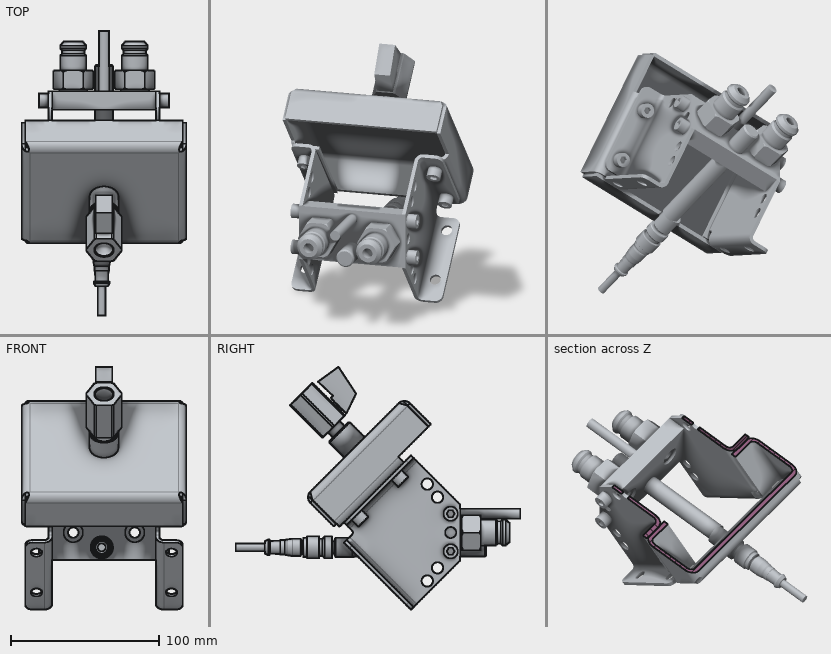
import cadquery as cq
import math

TILT = 45.0

SHEET = 2.5
BEND_OUTER = 5.4
BEND_INNER = BEND_OUTER - SHEET

BRACKET_INNER_X = 35.0
BRACKET_OUTER_X = BRACKET_INNER_X + SHEET
FLANGE_EDGE_X = 53.2
FLANGE_START = 9.6
FLANGE_END = 73.5
FLANGE_CORNER = 4.8
BRACKET_REAR_Y = 85.0
NOTCH_FILLET = 2.0
FLANGE_HOLE_X = 45.5
FLANGE_HOLES = (19.2, 57.2)
HOLE_DIA = 7.5
SIDE_HOLES = ((63.0, 32.6), (69.9, 23.8))

SCREW_HEAD_DIA = 9.6
SCREW_HEAD_HEIGHT = 6.5
SOCKET_FLATS = 4.6
SOCKET_DEPTH = 3.0

HOUSING_WIDTH = 111.0
HOUSING_FRONT = 2.9
HOUSING_REAR = 98.0
HOUSING_HEIGHT = 30.7
HOUSING_MID = (HOUSING_FRONT + HOUSING_REAR) / 2
RETURN_FLANGE_REAR = 66.8
FRONT_WALL_BOTTOM = 2.9
CORNER_NOTCH = 2.3

SPIGOT_DIA = 19.5
SPIGOT_TOP = 45.7
SPIGOT_CHAMFER = 0.8
NECK_DIA = 11.1
VALVE_BOTTOM = 50.5
VALVE_TOP = 81.5
VALVE_FLATS = 21.5
VALVE_CORNER_DIA = 24.0
VALVE_BORE_DIA = 12.0
VALVE_BORE_DEPTH = 19.2
VALVE_BORE_CHAMFER = 0.5
STEM_DIA = 7.7
STEM_Z = 58.4
HANDLE_WIDTH = 11.1
HANDLE_OUTLINE = ((62.5, 50.7), (76.8, 55.5), (81.2, 76.8), (64.3, 79.5), (64.7, 65.7), (62.5, 65.7))

BLOCK_FRONT = 72.4
BLOCK_REAR = BRACKET_REAR_Y
BLOCK_HALF_HEIGHT = 18.6
SCREW_Y = 78.7
SCREW_Z = 12.7

COUPLING_X = 20.7
COUPLING_BORE_DIA = 7.0
COUNTERBORE_DIA = 13.0
COUNTERBORE_DEPTH = 2.0
NUT_FLATS = 23.6
NUT_START = 86.2
NUT_END = 99.0
NUT_CHAMFER = 1.0
WASHER_DIA = 19.2
SLEEVE_RADIUS = 8.8
COUPLING_END = 118.6
SLEEVE_PROFILE = (
    (NUT_END, SLEEVE_RADIUS), (109.0, SLEEVE_RADIUS), (110.2, 7.7), (112.5, 7.7),
    (113.8, SLEEVE_RADIUS), (115.8, SLEEVE_RADIUS), (COUPLING_END, 6.3),
)

ROD_DIA = 7.0
ROD_Z = 12.7
ROD_END = 125.7
SENSOR_DIA = 12.3
SENSOR_Z = -10.2
SENSOR_REAR = 102.7
SENSOR_FRONT = 12.5
SENSOR_CHAMFER = 1.0
PLUG_X = -1.5
PLUG_Z = -10.0
PLUG_END = -66.2
PLUG_PROFILE = (
    (13.5, 6.5), (1.2, 6.5), (0.5, 5.5), (0.2, 4.2),
    (-1.0, 4.2), (-1.0, 7.1), (-1.5, 7.5), (-6.1, 7.5), (-7.0, 6.5),
    (-7.7, 6.0), (-9.8, 6.0), (-9.8, 7.3), (-10.2, 7.5), (-17.9, 7.5), (-18.5, 6.5),
    (-20.5, 6.5), (-21.0, 4.0), (-21.9, 4.0), (-22.3, 5.8), (-23.0, 6.0), (-28.0, 6.0),
    (-31.9, 5.4), (-33.0, 5.0), (-36.0, 5.0), (-36.0, 4.6), (-43.0, 4.5),
    (-43.4, 5.4), (-44.3, 5.4), (-46.5, 4.2), (-46.5, 2.7), (PLUG_END, 2.7),
)


def box(x0, x1, y0, y1, z0, z1):
    return cq.Workplane("XY").box(x1 - x0, y1 - y0, z1 - z0, centered=False).translate((x0, y0, z0))


def tilted(body):
    return body.rotate((0, 0, 0), (1, 0, 0), TILT)


def cylinder_y(x, z, y0, y1, diameter):
    """Cylinder along Y from y0 (rear) to the smaller y1."""
    return cq.Workplane("XZ", origin=(x, y0, z)).circle(diameter / 2).extrude(y0 - y1)


def across_corners(flats):
    return flats / math.cos(math.pi / 6)


def cap_screw(grip):
    """Socket screw: head above Z = 0, shank filling its clearance hole over the grip below."""
    head = cq.Workplane("XY").circle(SCREW_HEAD_DIA / 2).extrude(SCREW_HEAD_HEIGHT)
    shank = cq.Workplane("XY").circle(HOLE_DIA / 2).extrude(-grip)
    socket = (
        cq.Workplane("XY", origin=(0, 0, SCREW_HEAD_HEIGHT))
        .polygon(6, across_corners(SOCKET_FLATS))
        .extrude(-SOCKET_DEPTH)
        .rotate((0, 0, 0), (0, 0, 1), 90)
    )
    return head.union(shank).cut(socket)


def bracket_side_plate():
    """Flat side plate, ending at the bend lines of both flanges."""
    diagonal = math.sqrt(2)
    rear_z = FLANGE_END * diagonal - BRACKET_REAR_Y
    apex_y = BEND_OUTER * diagonal
    tip_y = (FLANGE_END + BEND_OUTER) / diagonal
    tip_z = (FLANGE_END - BEND_OUTER) / diagonal
    outline = [
        (apex_y, 0),
        (tip_y, tip_z),
        (BRACKET_REAR_Y, rear_z),
        (BRACKET_REAR_Y, -rear_z),
        (tip_y, -tip_z),
    ]
    plate = cq.Workplane("YZ", origin=(BRACKET_INNER_X, 0, 0)).polyline(outline).close().extrude(SHEET)
    notch = box(BRACKET_INNER_X, BRACKET_OUTER_X, 0, FLANGE_START, -FLANGE_START, 0)
    notch = notch.edges("|X and >Y and <Z").fillet(NOTCH_FILLET)
    plate = plate.cut(tilted(notch))
    upper_holes = [*SIDE_HOLES, (SCREW_Y, SCREW_Z)]
    holes = [(y, side * z) for y, z in upper_holes for side in (1, -1)] + [(SCREW_Y, 0)]
    return plate.cut(
        cq.Workplane("YZ", origin=(BRACKET_INNER_X, 0, 0))
        .pushPoints(holes)
        .circle(HOLE_DIA / 2)
        .extrude(SHEET)
    )


def bracket_flange():
    """Upper flange with its bend, turned outward from the side plate."""
    bend_x = BRACKET_INNER_X + BEND_OUTER
    bend_z = -BEND_OUTER
    sine = math.sqrt(0.5)
    flange = (
        cq.Workplane("XZ", origin=(0, FLANGE_END, 0))
        .moveTo(BRACKET_INNER_X, bend_z)
        .threePointArc((bend_x - BEND_OUTER * sine, bend_z + BEND_OUTER * sine), (bend_x, 0))
        .lineTo(FLANGE_EDGE_X, 0)
        .lineTo(FLANGE_EDGE_X, -SHEET)
        .lineTo(bend_x, -SHEET)
        .threePointArc((bend_x - BEND_INNER * sine, bend_z + BEND_INNER * sine), (BRACKET_OUTER_X, bend_z))
        .close()
        .extrude(FLANGE_END - FLANGE_START)
        .edges("|Z and >X")
        .fillet(FLANGE_CORNER)
    )
    holes = (
        cq.Workplane("XY")
        .pushPoints([(FLANGE_HOLE_X, y) for y in FLANGE_HOLES])
        .circle(HOLE_DIA / 2)
        .extrude(-SHEET)
    )
    return tilted(flange.cut(holes))


def right_bracket():
    upper = bracket_flange()
    return bracket_side_plate().union(upper).union(upper.mirror("XY"))


def corner_relief():
    """Square notch between two walls, widening over the bend to the corner of the flat top."""
    bend_start = HOUSING_HEIGHT - BEND_OUTER
    taper = math.degrees(math.atan((BEND_OUTER - CORNER_NOTCH) / BEND_OUTER))
    square = cq.Workplane("XY").rect(2 * CORNER_NOTCH, 2 * CORNER_NOTCH)
    flared = cq.Workplane("XY", origin=(0, 0, bend_start)).rect(2 * CORNER_NOTCH, 2 * CORNER_NOTCH)
    return square.extrude(bend_start).union(flared.extrude(BEND_OUTER, taper=-taper))


def housing_shell():
    """Folded cover with return flanges along the front part of its underside."""
    half = HOUSING_WIDTH / 2
    bent_edges = ">Z or (|Y and <Z)"
    outer = box(-half, half, HOUSING_FRONT, HOUSING_REAR, 0, HOUSING_HEIGHT)
    outer = outer.edges(bent_edges).fillet(BEND_OUTER)
    inner = box(
        -half + SHEET, half - SHEET,
        HOUSING_FRONT + SHEET, HOUSING_REAR - SHEET,
        SHEET, HOUSING_HEIGHT - SHEET,
    )
    inner = inner.edges(bent_edges).fillet(BEND_INNER)
    shell = outer.cut(inner)
    shell = shell.cut(
        box(-BRACKET_INNER_X, BRACKET_INNER_X, HOUSING_FRONT + SHEET, HOUSING_REAR, 0, BEND_OUTER)
    )
    shell = shell.cut(box(-half, half, RETURN_FLANGE_REAR, HOUSING_REAR, 0, BEND_OUTER))
    shell = shell.cut(box(-half, half, HOUSING_FRONT, HOUSING_FRONT + SHEET, 0, FRONT_WALL_BOTTOM))
    relief = corner_relief()
    for x in (-half, half):
        for y in (HOUSING_FRONT, HOUSING_REAR):
            shell = shell.cut(relief.translate((x, y, 0)))
    return shell


def ball_valve():
    base = cq.Workplane("XY", origin=(0, HOUSING_MID, 0))
    spigot = base.workplane(offset=HOUSING_HEIGHT - SHEET).circle(SPIGOT_DIA / 2)
    spigot = spigot.extrude(SPIGOT_TOP - HOUSING_HEIGHT + SHEET).faces(">Z").chamfer(SPIGOT_CHAMFER)
    neck = base.workplane(offset=SPIGOT_TOP).circle(NECK_DIA / 2).extrude(VALVE_BOTTOM - SPIGOT_TOP)
    valve_height = VALVE_TOP - VALVE_BOTTOM
    hexagon = base.workplane(offset=VALVE_BOTTOM).polygon(6, across_corners(VALVE_FLATS)).extrude(valve_height)
    corners = base.workplane(offset=VALVE_BOTTOM).circle(VALVE_CORNER_DIA / 2).extrude(valve_height)
    bore = base.workplane(offset=VALVE_TOP).circle(VALVE_BORE_DIA / 2).extrude(-VALVE_BORE_DEPTH)
    hexagon = hexagon.intersect(corners).cut(bore)
    hexagon = hexagon.faces(">Z").edges("%CIRCLE").edges(cq.selectors.RadiusNthSelector(0))
    hexagon = hexagon.chamfer(VALVE_BORE_CHAMFER)
    stem_start = HOUSING_MID + VALVE_FLATS / 2
    stem = cylinder_y(0, STEM_Z, HANDLE_OUTLINE[0][0], stem_start, STEM_DIA)
    handle = cq.Workplane("YZ").polyline(HANDLE_OUTLINE).close().extrude(HANDLE_WIDTH / 2, both=True)
    return spigot.union(neck).union(hexagon).union(stem).union(handle)


def housing():
    """Cover with its valve and the screws that hold it on the bracket flanges."""
    body = housing_shell().union(ball_valve())
    screw = cap_screw(SHEET).rotate((0, 0, 0), (1, 0, 0), 180)
    for x in (-FLANGE_HOLE_X, FLANGE_HOLE_X):
        for y in FLANGE_HOLES:
            body = body.union(screw.translate((x, y, -SHEET)))
    return tilted(body)


def coupling():
    """Hose coupling behind the block at x = 0, pointing to +Y."""
    outline = [(radius, y) for y, radius in SLEEVE_PROFILE]
    outline = [(0, NUT_END)] + outline + [(0, COUPLING_END)]
    sleeve = cq.Workplane("XY").polyline(outline).close().revolve(360, (0, 0, 0), (0, 1, 0))
    nut = cq.Workplane("XZ", origin=(0, NUT_END, 0)).polygon(6, across_corners(NUT_FLATS))
    nut = nut.extrude(NUT_END - NUT_START)
    rounding = cylinder_y(0, 0, NUT_END, NUT_START, across_corners(NUT_FLATS)).faces("<Y or >Y")
    nut = nut.intersect(rounding.chamfer(NUT_CHAMFER))
    washer = cylinder_y(0, 0, NUT_START, BLOCK_REAR, WASHER_DIA)
    return sleeve.union(nut).union(washer)


def sensor():
    barrel = cylinder_y(0, SENSOR_Z, SENSOR_REAR, SENSOR_FRONT, SENSOR_DIA)
    barrel = barrel.faces(">Y").chamfer(SENSOR_CHAMFER)
    outline = [(radius, y) for y, radius in PLUG_PROFILE]
    outline = [(0, PLUG_PROFILE[0][0])] + outline + [(0, PLUG_END)]
    plug = cq.Workplane("XY").polyline(outline).close().revolve(360, (0, 0, 0), (0, 1, 0))
    return barrel.union(plug.translate((PLUG_X, 0, PLUG_Z)))


def manifold():
    """Block with its couplings, rod, sensor and the screws through the bracket side plates."""
    body = box(
        -BRACKET_INNER_X, BRACKET_INNER_X, BLOCK_FRONT, BLOCK_REAR, -BLOCK_HALF_HEIGHT, BLOCK_HALF_HEIGHT
    )
    body = body.union(cylinder_y(0, ROD_Z, ROD_END, BLOCK_REAR, ROD_DIA)).union(sensor())
    for x in (-COUPLING_X, COUPLING_X):
        body = body.union(coupling().translate((x, 0, 0)))
        body = body.cut(cylinder_y(x, 0, COUPLING_END, BLOCK_FRONT, COUPLING_BORE_DIA))
        body = body.cut(cylinder_y(x, 0, BLOCK_FRONT + COUNTERBORE_DEPTH, BLOCK_FRONT, COUNTERBORE_DIA))
    for side in (-1, 1):
        screw = cap_screw(SHEET).rotate((0, 0, 0), (0, 1, 0), 90 * side)
        for z in (-SCREW_Z, SCREW_Z):
            body = body.union(screw.translate((side * BRACKET_OUTER_X, SCREW_Y, z)))
    return body


bracket = right_bracket()
brackets = [bracket, bracket.mirror("YZ")]
result = cq.Compound.makeCompound(
    [housing().val(), manifold().val()] + [side.val() for side in brackets]
)